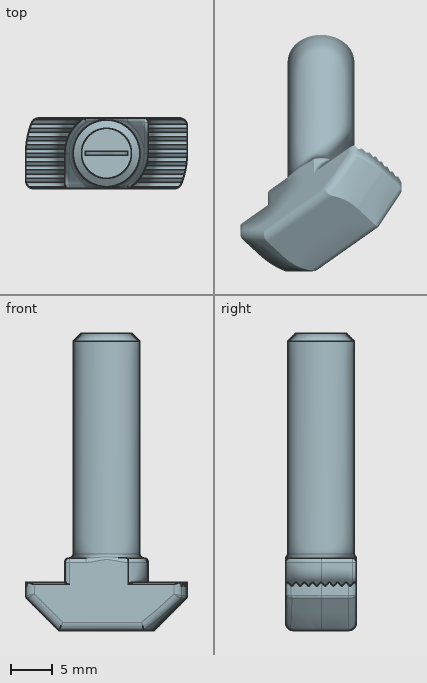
import cadquery as cq
import math

total_height = 35.7
head_length = 19.4
width = 8.5

head_top = 5.82
slope_top = 4.0
head_edge_radius = 1.0
slope_bend_radius = 0.5

tooth_pitch = 1.0
tooth_depth = tooth_pitch / 2

collar_top = 8.7
collar_radius = 5.0
collar_corner_radius = 0.5
collar_edge_radius = 0.49

shank_radius = 4.0
flare_radius = 0.5
tip_radius = 3.0
tip_chamfer_height = 1.0

slot_length = 5.1
slot_width = 0.5
slot_depth = 0.5

half_length = head_length / 2
half_width = width / 2

tolerance = 1e-3


def half_turn(solid):
    """Return the solid turned by 180 degrees about the shank axis."""
    return solid.rotate((0, 0, 0), (0, 0, 1), 180)


def on_flat(edge):
    """True for an edge that lies in one of the two flats at y = +/- half_width."""
    return abs(abs(edge.Center().y) - half_width) < tolerance


def width_slab(height):
    """Block that limits a body to the width across the flats."""
    return cq.Workplane("XY").box(head_length, width, height, centered=(True, True, False))


def head_half_section():
    """Section of the head from the shank axis to its +X end."""
    return (
        cq.Workplane("XZ")
        .lineTo(half_length - slope_top, 0)
        .lineTo(half_length, slope_top)
        .lineTo(half_length, head_top)
        .lineTo(0, head_top)
        .close()
    )


def make_head():
    """Head with ends that are each half straight and half turned about the shank axis."""
    straight_quarter = head_half_section().extrude(-half_width)
    turned_quarter = head_half_section().revolve(90, (0, 0), (0, -1))
    turned_quarter = turned_quarter.intersect(width_slab(head_top))
    half = straight_quarter.union(turned_quarter)
    head = half.union(half_turn(half)).clean()

    flat_edges = head.edges().filter(lambda e: on_flat(e) and e.Center().z < head_top - tolerance)
    head = flat_edges.fillet(head_edge_radius)

    def on_slope_bend(edge):
        center = edge.Center()
        return abs(center.z - slope_top) < tolerance and edge.Length() > half_width / 2

    return head.edges().filter(on_slope_bend).fillet(slope_bend_radius)


def cut_serrations(head):
    """Cut V grooves along X with a crest on the centre plane."""
    groove_count = 2 * math.ceil(half_width / tooth_pitch)
    valley = head_top - tooth_depth
    for index in range(groove_count):
        y = (index - (groove_count - 1) / 2) * tooth_pitch
        groove = (
            cq.Workplane("YZ", origin=(-half_length, y, 0))
            .moveTo(0, valley)
            .lineTo(tooth_pitch / 2, head_top)
            .lineTo(-tooth_pitch / 2, head_top)
            .close()
            .extrude(head_length)
        )
        head = head.cut(groove)
    return head


def make_collar():
    """Collar with two square and two round quarters that flares into the shank."""
    base = cq.Workplane("XY", origin=(0, 0, slope_top))
    height = collar_top - slope_top
    disc = base.circle(collar_radius).extrude(height)
    corner = base.box(collar_radius, half_width, height, centered=False)
    corner = corner.edges("|Z and >X and >Y").fillet(collar_corner_radius)

    flare_base = shank_radius + flare_radius
    flare_top = collar_top + flare_radius
    arc_offset = flare_radius / math.sqrt(2)
    flare = (
        cq.Workplane("XZ")
        .moveTo(0, slope_top)
        .lineTo(flare_base, slope_top)
        .lineTo(flare_base, collar_top)
        .threePointArc((flare_base - arc_offset, flare_top - arc_offset), (shank_radius, flare_top))
        .lineTo(0, flare_top)
        .close()
        .revolve()
    )
    collar = disc.union(corner).union(half_turn(corner)).union(flare)
    collar = collar.intersect(width_slab(flare_top)).clean()

    def on_top_rim(edge):
        center = edge.Center()
        on_round_side = math.hypot(center.x, center.y) > flare_base + tolerance
        return center.z > collar_top - tolerance and (on_flat(edge) or on_round_side)

    return collar.edges().filter(on_top_rim).fillet(collar_edge_radius)


def make_shank():
    """Shank from the collar to the chamfered, slotted tip."""
    shank = (
        cq.Workplane("XY", origin=(0, 0, collar_top))
        .circle(shank_radius)
        .extrude(total_height - collar_top)
        .faces(">Z")
        .chamfer(tip_chamfer_height, shank_radius - tip_radius)
    )
    slot = cq.Workplane("XY", origin=(0, 0, total_height - slot_depth)).rect(slot_length, slot_width)
    return shank.cut(slot.extrude(slot_depth))


result = cut_serrations(make_head()).union(make_collar()).union(make_shank())